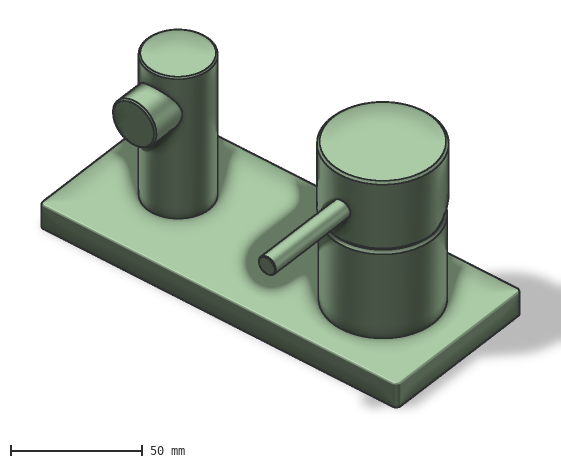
import cadquery as cq

plate_length = 175.0
plate_width = 74.9
plate_height = 11.7
plate_corner_radius = 2.1
plate_top_round = 1.0

column_offset = 50.0

post_radius = 15.0
post_top = 80.2
post_chamfer = 0.7
knob_radius = 10.7
knob_height = 62.3
knob_reach = 26.8
knob_chamfer = 0.7

body_radius = 24.5
body_top = 53.7
body_chamfer = 1.2
neck_base_radius = 22.4
neck_tip_radius = 19.0
neck_tip_height = 65.8
cap_radius = 25.0
cap_top = 87.8
cap_bottom = 55.8
cap_back_rise = 11.2
cap_chamfer = 1.0

lever_radius = 4.2
lever_height = 70.5
lever_reach = 69.6
lever_chamfer = 0.4


def upright(x, radius, bottom, top):
    """Vertical cylinder standing at the given X."""
    return cq.Workplane("XY", origin=(x, 0, bottom)).circle(radius).extrude(top - bottom)


def forward_rod(x, height, radius, reach, chamfer):
    """Horizontal rod running from a column axis towards -Y, chamfered at its free end."""
    rod = cq.Workplane("XZ", origin=(x, 0, height)).circle(radius).extrude(reach)
    return rod.faces("<Y").chamfer(chamfer)


def make_plate():
    plate = cq.Workplane("XY").rect(plate_length, plate_width).extrude(plate_height)
    plate = plate.edges("|Z").fillet(plate_corner_radius)
    return plate.faces(">Z").edges().fillet(plate_top_round)


def make_post():
    post = upright(-column_offset, post_radius, 0, post_top).faces(">Z").chamfer(post_chamfer)
    knob = forward_rod(-column_offset, knob_height, knob_radius, knob_reach, knob_chamfer)
    return post.union(knob)


def make_body():
    body = upright(column_offset, body_radius, 0, body_top)
    return body.faces(">Z").chamfer(body_chamfer)


def make_neck():
    """Solid cone from the body into the cap."""
    return (
        cq.Workplane("XZ", origin=(column_offset, 0, 0))
        .moveTo(0, body_top)
        .lineTo(neck_base_radius, body_top)
        .lineTo(neck_tip_radius, neck_tip_height)
        .lineTo(0, neck_tip_height)
        .close()
        .revolve(360, (0, 0), (0, 1))
    )


def make_cap():
    """Cap whose underside is level in front of its axis and slopes up behind it."""
    cap = upright(column_offset, cap_radius, cap_bottom, cap_top).faces(">Z").chamfer(cap_chamfer)
    back_relief = (
        cq.Workplane("YZ", origin=(column_offset, 0, 0))
        .moveTo(0, cap_bottom)
        .lineTo(cap_radius, cap_bottom + cap_back_rise)
        .lineTo(cap_radius, cap_bottom)
        .close()
        .extrude(cap_radius, both=True)
    )
    return cap.cut(back_relief)


def make_lever():
    return forward_rod(column_offset, lever_height, lever_radius, lever_reach, lever_chamfer)


result = make_plate()
for piece in (make_post(), make_body(), make_neck(), make_cap(), make_lever()):
    result = result.union(piece)